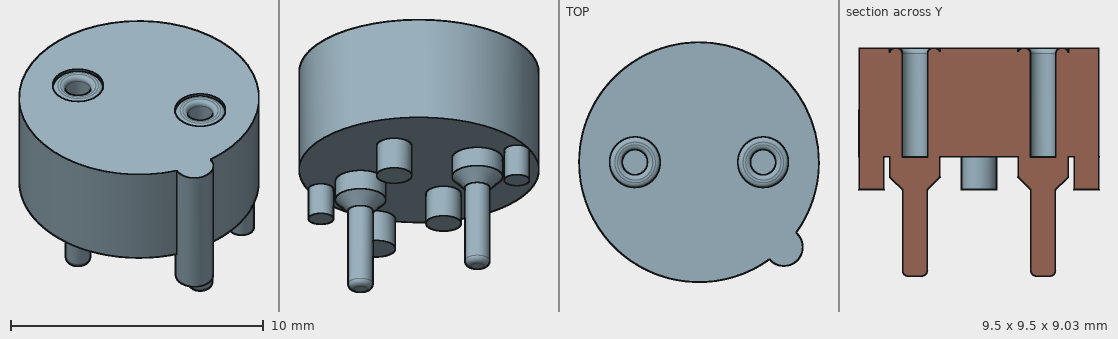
import cadquery as cq
import math

body_diameter = 9.5
body_height = 4.3

standoff_height = 1.3
side_standoff_diameter = 1.0
side_standoff_offset = (body_diameter - side_standoff_diameter) / 2
middle_standoff_diameter = 1.4
middle_standoff_offset = 2.375
key_diameter = 1.5
key_angle = math.radians(-45)
key_radius = body_diameter / 2

total_height = 9.03
pin_offset = 2.54
sleeve_radius = 2.0 / 2
tail_radius = 1.0 / 2
socket_radius = 1.0 / 2
socket_depth = body_height
taper_start = 0.81
rim_round = 0.2
tip_round = 0.24
tail_bottom = body_height - total_height


def standoff(x, y, diameter, top=0.0):
    """Vertical post from the standoff level up to the given height."""
    return (
        cq.Workplane("XY", origin=(x, y, -standoff_height))
        .circle(diameter / 2)
        .extrude(standoff_height + top)
    )


def pin_profile():
    """Half section of a pin without its socket; local X is the radius, local Y is Z."""
    return (
        cq.Workplane("XZ")
        .moveTo(0, tail_bottom)
        .lineTo(tail_radius - tip_round, tail_bottom)
        .radiusArc((tail_radius, tail_bottom + tip_round), -tip_round)
        .lineTo(tail_radius, -standoff_height)
        .lineTo(sleeve_radius, -taper_start)
        .lineTo(sleeve_radius, body_height - rim_round)
        .radiusArc((sleeve_radius - rim_round, body_height), -rim_round)
        .lineTo(0, body_height)
        .close()
    )


def pin():
    """Solid pin with a blind socket whose mouth is rounded."""
    socket_bottom = body_height - socket_depth
    socket = (
        cq.Workplane("XZ")
        .moveTo(0, socket_bottom)
        .lineTo(socket_radius, socket_bottom)
        .lineTo(socket_radius, body_height - rim_round)
        .radiusArc((socket_radius + rim_round, body_height), rim_round)
        .lineTo(0, body_height)
        .close()
        .revolve(360, (0, 0, 0), (0, 1, 0))
    )
    return pin_profile().revolve(360, (0, 0, 0), (0, 1, 0)).cut(socket)


result = cq.Workplane("XY").circle(body_diameter / 2).extrude(body_height)
key_x = key_radius * math.cos(key_angle)
key_y = key_radius * math.sin(key_angle)
result = result.union(standoff(key_x, key_y, key_diameter, body_height))

for side in (-1, 1):
    result = result.union(standoff(side * side_standoff_offset, 0, side_standoff_diameter))
    result = result.union(standoff(0, side * middle_standoff_offset, middle_standoff_diameter))

for side in (-1, 1):
    bore = (
        cq.Workplane("XY")
        .center(side * pin_offset, 0)
        .circle(sleeve_radius)
        .extrude(body_height)
    )
    result = result.cut(bore).union(pin().translate((side * pin_offset, 0, 0)))